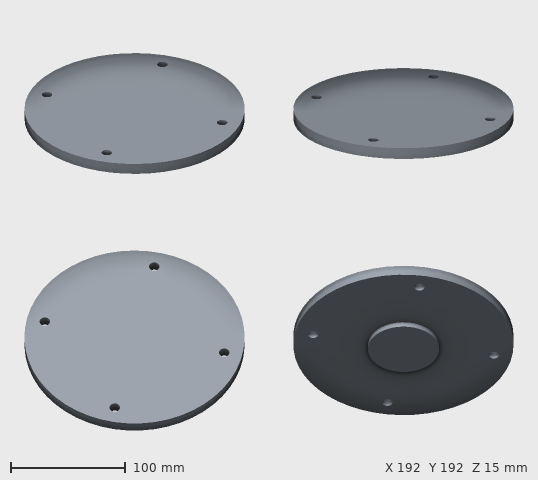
import cadquery as cq

plate_diameter = 192.0
plate_thickness = 10.0

boss_diameter = 62.0
boss_height = 5.0

hole_count = 4
hole_diameter = 9.0
bolt_circle_radius = 80.0

plate = cq.Workplane("XY").circle(plate_diameter / 2).extrude(plate_thickness)
boss = cq.Workplane("XY").circle(boss_diameter / 2).extrude(-boss_height)

bolt_holes = (
    cq.Workplane("XY")
    .polarArray(bolt_circle_radius, 0, 360, hole_count)
    .circle(hole_diameter / 2)
    .extrude(plate_thickness)
)

result = plate.union(boss).cut(bolt_holes)